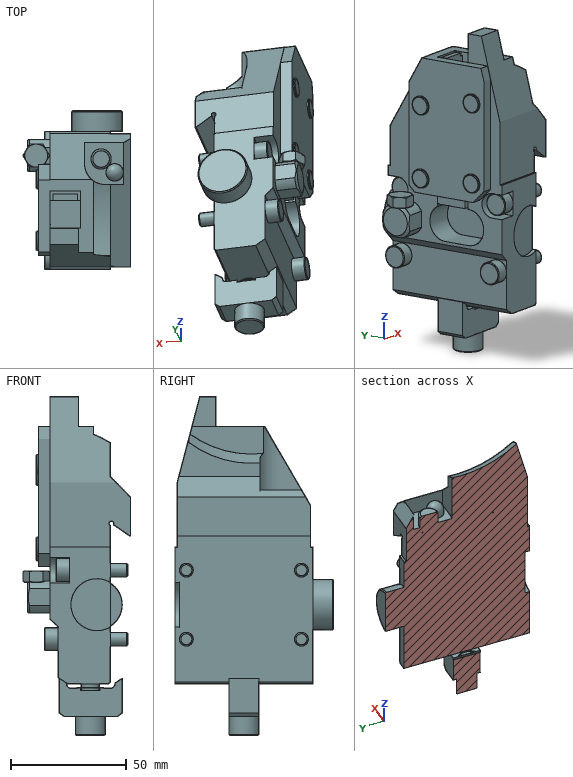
import cadquery as cq
import math


body_depth = 26.3
lower_face_x = 3.6
step_bottom_z = 24.8
step_top_z = 28.2
base_half_width = 30.0
shoulder_z = 59.4
upper_half_width = 29.0
shoulder_slope_z = 77.55
shoulder_top_y = 9.0
post_y_max = -12.2
post_top_y_min = -19.2
taper_bottom_z = 87.5
top_z = 111.95
post_top_z = 124.85
overall_height = 147.33
post_depth = 12.5
ledge_depth = 19.0
ledge_slope_top_z = 108.85
ledge_slope_bottom_z = 104.85
ledge_hollow_radius = 50.0
ledge_hollow_y = 3.0
ledge_hollow_edge_y = -23.9
bottom_bevel_x = 4.2
bottom_bevel_z = 2.75
bottom_edge_chamfer = 0.8

hook_x = 35.1
hook_top_z = 81.15
hook_root_z = 90.15
hook_tip_width = 0.5
hook_tip_z = 64.35
hook_under_angle = 34.5
relief_radius = 1.0
relief_z = 69.65

plate_thickness = 5.0
plate_bottom_z = 51.0
plate_y_max = 15.7
plate_y_min = -24.0
plate_shoulder_inset = 0.15
plate_top_y_min = -22.4
plate_side_top_z = 106.3
plate_small_chamfer = 3.0
plate_large_chamfer = 5.7
plate_screw_d = 8.5
plate_screw_height = 0.9
plate_screws = [(9.3, 90.5), (9.3, 57.7), (-17.6, 95.5), (-17.6, 59.5)]

channel_depth = 13.4
channel_y_max = 4.0
channel_y_min = -12.0
slot_length = 28.4
slot_height = 16.3
slot_depth = channel_depth
slot_y = -6.2
slot_z = 37.8

block_y_min = 0.0
block_top_z = 111.75
block_step = 1.3
block_shoulder_z = 110.35
block_toe_top_z = 55.0
block_toe_y_min = -10.4
block_toe_recess = 0.1
block_cap_height = 3.0

screw_head_d = 10.0
screw_head_height = 6.0
screw_y = 25.0
screw_low_z = 19.4
screw_high_z = 49.4
screw_pin_d = 6.0
screw_pin_end_x = 33.9
pin_chamfer = 0.6
counterbore_d = 11.0
counterbore_depth = 8.6
rim_chamfer = 0.4

knob_d = 22.0
recess_d = 22.6
knob_x = 20.5
knob_z = 34.4
knob_end_y = 39.0
knob_chamfer = 0.5
recess_depth = 2.0

stop_size = 14.0
stop_bar_d = 15.75
stop_face_d = 12.6
stop_y = 19.5
stop_z = 37.75
stop_end_x = -9.75
nut_sides = 6
nut_across_flats = 10.0
nut_height = 5.0
nut_overlap = 0.6
nut_end_x = -11.67
bevel_angle = 30.0

pocket_x_min = 15.1
pocket_x_max = 32.0
pocket_y_min = 6.9
pocket_y_max = 25.2
pocket_floor_z = 76.0
pocket_corner_radius = 9.0
flat_stud_d = 8.8
flat_stud_x = 22.3
flat_stud_y = 18.0
flat_stud_height = 6.0
flat_stud_chamfer = 0.8
domed_stud_d = 7.6
domed_stud_x = 28.2
domed_stud_y = 12.2
domed_stud_height = 2.0

clamp_x_min = 4.1
clamp_x_max = 31.5
clamp_width = 13.0
clamp_bottom_z = -14.2
clamp_floor_z = -1.9
clamp_chamfer_x = 2.0
clamp_chamfer_z = 1.6
clamp_jaw_width = 3.2
clamp_fillet = 2.0
clamp_screw_x = 17.6
clamp_screw_d = 8.0
clamp_head_d = 13.0
clamp_head_end_z = post_top_z - overall_height
clamp_collar_d = 11.5
clamp_collar_height = 0.4
clamp_notch_width = 8.3
clamp_notch_depth = 0.9


def box(x_range, y_range, z_range):
    size = [high - low for low, high in (x_range, y_range, z_range)]
    return cq.Workplane("XY").box(*size, centered=False).translate(
        (x_range[0], y_range[0], z_range[0])
    )


def cylinder_x(diameter, x_start, x_end, y, z):
    return cq.Workplane("YZ", origin=(x_start, y, z)).circle(diameter / 2).extrude(x_end - x_start)


def cylinder_z(diameter, x, y, z_start, z_end):
    return cq.Workplane("XY", origin=(x, y, z_start)).circle(diameter / 2).extrude(z_end - z_start)


def upper_outline():
    """Width outline of the upper body, with its sloping shoulders and post."""
    return (
        cq.Workplane("YZ")
        .polyline([
            (base_half_width, 0),
            (base_half_width, shoulder_z),
            (upper_half_width, shoulder_z),
            (upper_half_width, shoulder_slope_z),
            (shoulder_top_y, top_z),
            (post_y_max, top_z),
            (post_y_max, post_top_z),
            (post_top_y_min, post_top_z),
            (-upper_half_width, taper_bottom_z),
            (-upper_half_width, shoulder_z),
            (-base_half_width, shoulder_z),
            (-base_half_width, 0),
        ])
        .close()
        .extrude(hook_x)
    )


def make_body():
    under_rise = (hook_x - hook_tip_width - body_depth) * math.tan(math.radians(hook_under_angle))
    side = (
        cq.Workplane("XZ", origin=(0, base_half_width, 0))
        .polyline([
            (lower_face_x + bottom_bevel_x, 0),
            (body_depth - bottom_edge_chamfer, 0),
            (body_depth, bottom_edge_chamfer),
            (body_depth, hook_tip_z + under_rise),
            (hook_x - hook_tip_width, hook_tip_z),
            (hook_x, hook_tip_z),
            (hook_x, hook_top_z),
            (body_depth, hook_root_z),
            (body_depth, ledge_slope_bottom_z),
            (ledge_depth, ledge_slope_top_z),
            (ledge_depth, top_z),
            (post_depth, top_z),
            (post_depth, post_top_z),
            (0, post_top_z),
            (0, step_top_z),
            (lower_face_x, step_bottom_z),
            (lower_face_x, bottom_bevel_z),
        ])
        .close()
        .extrude(2 * base_half_width)
    )
    relief = (
        cq.Workplane("XZ", origin=(body_depth + relief_radius / 2, base_half_width, relief_z))
        .circle(relief_radius)
        .extrude(2 * base_half_width)
    )
    return side.intersect(upper_outline()).cut(relief)


def hollow_ledge(body):
    """Scoop the sloping ledge with a cylinder that runs parallel to the slope."""
    drop = ledge_slope_top_z - ledge_slope_bottom_z
    slope_angle = math.degrees(math.atan2(drop, body_depth - ledge_depth))
    half_chord = ledge_hollow_y - ledge_hollow_edge_y
    rise = math.sqrt(ledge_hollow_radius**2 - half_chord**2)
    length = 4 * body_depth
    scoop = (
        cq.Workplane("YZ", origin=(-length / 2, ledge_hollow_y, rise))
        .circle(ledge_hollow_radius)
        .extrude(length)
        .rotate((0, 0, 0), (0, 1, 0), slope_angle)
        .translate((ledge_depth, 0, ledge_slope_top_z))
    )
    limits = box((ledge_depth, body_depth), (-base_half_width, base_half_width), (hook_root_z, post_top_z))
    return body.cut(scoop.intersect(limits))


def cut_channel(body):
    channel = box((0, channel_depth), (channel_y_min, channel_y_max), (slot_z, post_top_z))
    opening = (
        cq.Workplane("YZ", origin=(0, slot_y, slot_z))
        .slot2D(slot_length, slot_height)
        .extrude(slot_depth)
    )
    return body.cut(channel).cut(opening)


def make_guide_block():
    """L-shaped block with a stepped head and a wide toe that rests above the oblong opening."""
    toe = box(
        (block_toe_recess, channel_depth),
        (block_toe_y_min, channel_y_max),
        (slot_z + slot_height / 2, block_toe_top_z),
    )
    cap = box(
        (block_toe_recess, channel_depth),
        (channel_y_min, channel_y_max),
        (block_toe_top_z - block_cap_height, block_toe_top_z),
    )
    column = box(
        (0, channel_depth), (block_y_min, channel_y_max), (block_toe_top_z, block_shoulder_z)
    )
    head = box(
        (block_step, channel_depth - block_step),
        (block_y_min, channel_y_max - block_step),
        (block_shoulder_z, block_top_z),
    )
    return toe.union(cap).union(column).union(head)


def make_plate():
    shoulder_rise = (top_z - shoulder_slope_z) / (upper_half_width - shoulder_top_y)
    shoulder_y = shoulder_top_y - plate_shoulder_inset
    plate = (
        cq.Workplane("YZ", origin=(-plate_thickness, 0, 0))
        .polyline([
            (plate_y_max - plate_small_chamfer, plate_bottom_z),
            (plate_y_max, plate_bottom_z + plate_small_chamfer),
            (plate_y_max, top_z - shoulder_rise * (plate_y_max - shoulder_y)),
            (shoulder_y, top_z),
            (plate_top_y_min, top_z),
            (plate_y_min, plate_side_top_z),
            (plate_y_min, plate_bottom_z + plate_large_chamfer),
            (plate_y_min + plate_large_chamfer, plate_bottom_z),
        ])
        .close()
        .extrude(plate_thickness)
    )
    for y, z in plate_screws:
        head = cylinder_x(plate_screw_d, -plate_thickness - plate_screw_height, -plate_thickness, y, z)
        plate = plate.union(head.faces("<X").chamfer(rim_chamfer))
    return plate


def add_body_screws(body):
    for side in (1, -1):
        y = side * screw_y
        bore = cylinder_x(counterbore_d, 0, counterbore_depth, y, screw_high_z)
        half = counterbore_d / 2
        open_side = box(
            (0, counterbore_depth),
            sorted((y, side * base_half_width)),
            (screw_high_z - half, screw_high_z + half),
        )
        body = body.cut(bore).cut(open_side)
        for seat_x, z in ((lower_face_x, screw_low_z), (counterbore_depth, screw_high_z)):
            head = cylinder_x(screw_head_d, seat_x - screw_head_height, seat_x, y, z)
            pin = cylinder_x(screw_pin_d, seat_x, screw_pin_end_x, y, z)
            body = body.union(head.faces("<X").chamfer(rim_chamfer))
            body = body.union(pin.faces(">X").chamfer(pin_chamfer))
    return body


def add_knob(body):
    recess = (
        cq.Workplane("XZ", origin=(knob_x, recess_depth - base_half_width, knob_z))
        .circle(recess_d / 2)
        .extrude(recess_depth)
    )
    knob = (
        cq.Workplane("XZ", origin=(knob_x, knob_end_y, knob_z))
        .circle(knob_d / 2)
        .extrude(knob_end_y - base_half_width)
        .faces(">Y")
        .chamfer(knob_chamfer)
    )
    return body.cut(recess).union(knob)


def bevel_cone(workplane, face_d, length):
    """A bar that widens from its end face at the bevel angle."""
    growth = length / math.tan(math.radians(bevel_angle))
    return workplane.circle(face_d / 2).workplane(offset=length).circle(face_d / 2 + growth).loft()


def make_stop():
    length = -stop_end_x
    square = (
        cq.Workplane("YZ", origin=(stop_end_x, stop_y, stop_z))
        .rect(stop_size, stop_size)
        .extrude(length)
    )
    bar = cylinder_x(stop_bar_d, stop_end_x, 0, stop_y, stop_z)
    cone = bevel_cone(cq.Workplane("YZ", origin=(stop_end_x, stop_y, stop_z)), stop_face_d, length)
    corner_d = nut_across_flats / math.cos(math.pi / nut_sides)
    nut_x = nut_end_x + corner_d / 2
    nut_bottom_z = stop_z + stop_size / 2 - nut_overlap
    nut_top_z = nut_bottom_z + nut_height
    nut = cq.Workplane("XY", origin=(nut_x, stop_y, nut_bottom_z)).polygon(nut_sides, corner_d).extrude(nut_height)
    up = bevel_cone(cq.Workplane("XY", origin=(nut_x, stop_y, nut_bottom_z)), nut_across_flats, nut_height)
    down = up.mirror("XY", (0, 0, (nut_bottom_z + nut_top_z) / 2))
    return square.intersect(bar).intersect(cone).union(nut.intersect(up).intersect(down))


def add_corner_pocket(body):
    pocket = box((pocket_x_min, pocket_x_max), (pocket_y_min, pocket_y_max), (pocket_floor_z, post_top_z))
    pocket = pocket.edges("|Z and <X").edges("<Y").fillet(pocket_corner_radius)
    stud = cylinder_z(
        flat_stud_d, flat_stud_x, flat_stud_y, pocket_floor_z, pocket_floor_z + flat_stud_height
    )
    radius = domed_stud_d / 2
    arc_mid = radius * math.sqrt(0.5)
    domed = (
        cq.Workplane("XZ")
        .lineTo(radius, 0)
        .lineTo(radius, domed_stud_height)
        .threePointArc((arc_mid, domed_stud_height + arc_mid), (0, domed_stud_height + radius))
        .close()
        .revolve(360, (0, 0), (0, 1))
        .translate((domed_stud_x, domed_stud_y, pocket_floor_z))
    )
    body = body.cut(pocket).union(stud.faces(">Z").chamfer(flat_stud_chamfer))
    return body.union(domed)


def make_clamp():
    bevel_slope = bottom_bevel_z / bottom_bevel_x
    inner_left = clamp_x_min + clamp_jaw_width
    inner_right = clamp_x_max - clamp_jaw_width
    jaw_root_z = (lower_face_x + bottom_bevel_x - inner_left) * bevel_slope
    jaw_tip_z = jaw_root_z + clamp_jaw_width * bevel_slope
    clamp = (
        cq.Workplane("XZ", origin=(0, clamp_width / 2, 0))
        .polyline([
            (clamp_x_min + clamp_chamfer_x, clamp_bottom_z),
            (clamp_x_max - clamp_chamfer_x, clamp_bottom_z),
            (clamp_x_max, clamp_bottom_z + clamp_chamfer_z),
            (clamp_x_max, jaw_tip_z),
            (inner_right, jaw_root_z),
            (inner_right, clamp_floor_z),
            (inner_left, clamp_floor_z),
            (inner_left, jaw_root_z),
            (clamp_x_min, jaw_tip_z),
            (clamp_x_min, clamp_bottom_z + clamp_chamfer_z),
        ])
        .close()
        .extrude(clamp_width)
    )
    for x in (inner_left, inner_right):
        corner = cq.selectors.NearestToPointSelector((x, 0, clamp_floor_z))
        clamp = clamp.edges("|Y").edges(corner).fillet(clamp_fillet)
    notch = box(
        (clamp_screw_x - clamp_notch_width / 2, clamp_screw_x + clamp_notch_width / 2),
        (-clamp_width / 2, clamp_width / 2),
        (clamp_floor_z - clamp_notch_depth, clamp_floor_z),
    )
    shank = cylinder_z(clamp_screw_d, clamp_screw_x, 0, clamp_bottom_z, 0)
    collar = cylinder_z(clamp_collar_d, clamp_screw_x, 0, clamp_floor_z, clamp_floor_z + clamp_collar_height)
    head = cylinder_z(clamp_head_d, clamp_screw_x, 0, clamp_head_end_z, clamp_bottom_z)
    return clamp.cut(notch).union(shank).union(collar).union(head.faces("<Z").chamfer(knob_chamfer))


body = cut_channel(hollow_ledge(make_body()))
body = add_corner_pocket(body)
body = add_body_screws(body)
body = add_knob(body)
result = body.union(make_guide_block()).union(make_plate()).union(make_stop()).union(make_clamp())